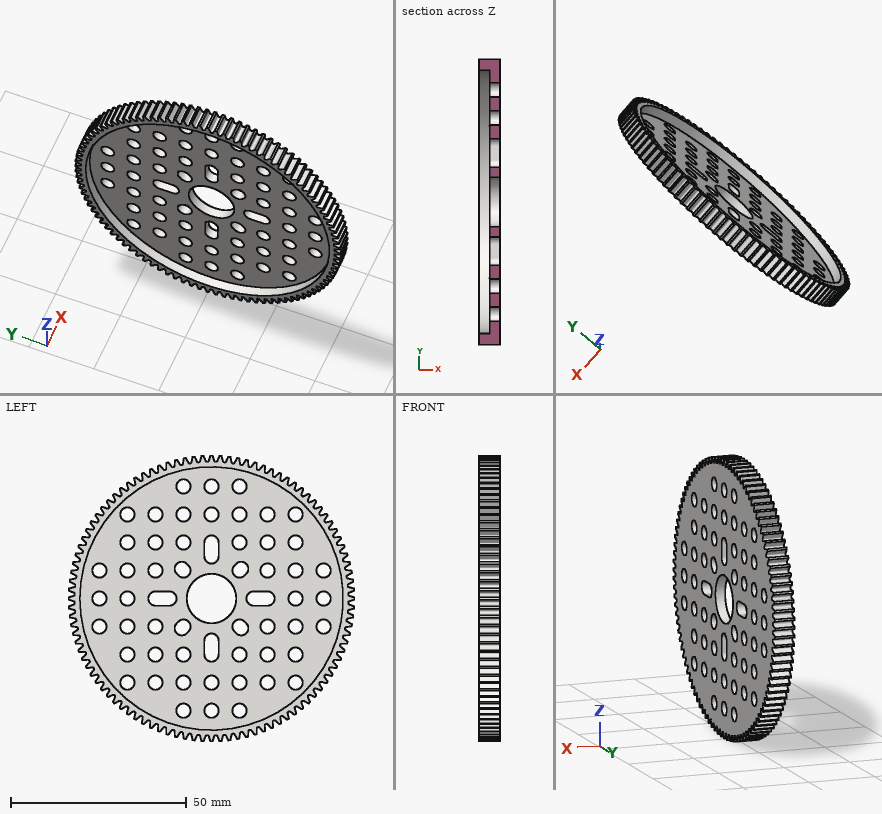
import cadquery as cq
import math

face_width = 6.0
module = 0.8
tooth_count = 100
pressure_angle = math.radians(20)
dedendum_factor = 1.15
root_fillet = 0.4 * module

recess_diameter = 75.15
recess_depth = 3.0

bore_diameter = 14.05
hole_diameter = 4.0
hole_pitch = 8.0
hole_field_radius = 34.0
radial_slot_inner = 12.0
radial_slot_outer = 2 * hole_pitch
diagonal_slot_inner = math.hypot(hole_pitch, hole_pitch)
bolt_circle_radius = 12.0

pitch_radius = module * tooth_count / 2
tip_radius = pitch_radius + module
root_radius = pitch_radius - dedendum_factor * module
base_radius = pitch_radius * math.cos(pressure_angle)
tooth_angle = 2 * math.pi / tooth_count

front_x = -face_width / 2


def involute(angle):
    return math.tan(angle) - angle


def flank_half_angle(radius):
    """Half of the angle that a tooth spans at the given radius."""
    local_pressure_angle = math.acos(base_radius / radius)
    return tooth_angle / 4 + involute(pressure_angle) - involute(local_pressure_angle)


def polar(radius, angle):
    return (radius * math.cos(angle), radius * math.sin(angle))


def plane_at(x):
    """Sketch plane at the given X: local x is +Y, local y is +Z, extrusion goes to +X."""
    return cq.Workplane("YZ", origin=(x, 0, 0))


def is_root_corner(edge):
    """True for edges inside the root zone, more than one module below the pitch circle."""
    centre = edge.Center()
    return math.hypot(centre.y, centre.z) < pitch_radius - module


def make_gear_blank():
    """Solid spur gear: straight flanks between involute points, arcs at tips, filleted roots."""
    root_half = flank_half_angle(root_radius)
    tip_half = flank_half_angle(tip_radius)
    outline = plane_at(front_x).moveTo(*polar(root_radius, -root_half))
    for tooth in range(tooth_count):
        middle = tooth * tooth_angle
        gap_middle = middle + tooth_angle / 2
        next_root = middle + tooth_angle - root_half
        outline = outline.lineTo(*polar(tip_radius, middle - tip_half))
        outline = outline.threePointArc(polar(tip_radius, middle), polar(tip_radius, middle + tip_half))
        outline = outline.lineTo(*polar(root_radius, middle + root_half))
        outline = outline.threePointArc(polar(root_radius, gap_middle), polar(root_radius, next_root))
    blank = outline.close().extrude(face_width)
    return blank.edges("|X").filter(is_root_corner).fillet(root_fillet)


def make_recess():
    return plane_at(front_x).circle(recess_diameter / 2).extrude(recess_depth)


def make_bore():
    return plane_at(front_x).circle(bore_diameter / 2).extrude(face_width)


def slot_cutter(inner, outer, angle):
    """Round-ended slot along a radius, between two end centres."""
    centre = polar((inner + outer) / 2, angle)
    length = outer - inner + hole_diameter
    sketch = plane_at(front_x).center(*centre)
    return sketch.slot2D(length, hole_diameter, math.degrees(angle)).extrude(face_width)


def grid_hole_centres():
    """Square grid inside the hole field, without the places taken by the bore and the slots."""
    reach = int(hole_field_radius // hole_pitch)
    centres = []
    for column in range(-reach, reach + 1):
        for row in range(-reach, reach + 1):
            inside_field = math.hypot(column, row) * hole_pitch <= hole_field_radius
            near_bore = max(abs(column), abs(row)) <= 1
            on_radial_slot = abs(column) + abs(row) == 2 and column * row == 0
            if inside_field and not near_bore and not on_radial_slot:
                centres.append((column * hole_pitch, row * hole_pitch))
    return centres


def make_grid_holes():
    return plane_at(front_x).pushPoints(grid_hole_centres()).circle(hole_diameter / 2).extrude(face_width)


def make_slots():
    """Per quarter turn: one slot along an axis and one short slot along a diagonal."""
    slots = cq.Workplane("YZ")
    for quarter in range(4):
        axis_angle = quarter * math.pi / 2
        slots = slots.add(slot_cutter(radial_slot_inner, radial_slot_outer, axis_angle))
        slots = slots.add(slot_cutter(diagonal_slot_inner, bolt_circle_radius, axis_angle + math.pi / 4))
    return slots.combine()


result = make_gear_blank()
result = result.cut(make_recess())
result = result.cut(make_bore())
result = result.cut(make_grid_holes())
result = result.cut(make_slots())